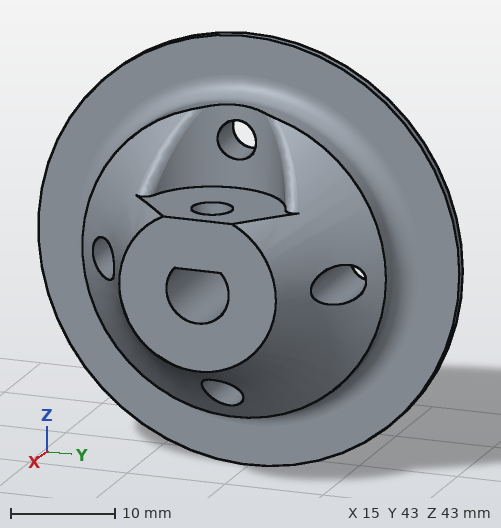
import cadquery as cq
import math

flange_radius = 21.5
flange_thickness = 1.0
hub_diameter = 31.0
hub_radius = hub_diameter / 2
root_fillet = 2.0
hub_shoulder_x = 5.0
nose_x = 15.0
nose_radius = 8.0
flare_curve_radius = 22.58

bore_radius = 3.2
bore_flat_height = 2.15
countersink = 1.05

bolt_diameter = 3.9
bolt_circle_radius = 12.0
bolt_count = 4

seat_x = 11.0
seat_radius = 7.0
seat_floor_z = 7.2
seat_rim_fillet = 0.95
selection_margin = 0.45
screw_diameter = 4.0


def flare_midpoint():
    """Middle of the concave arc joining the hub shoulder to the nose."""
    run = nose_x - hub_shoulder_x
    drop = hub_radius - nose_radius
    chord = math.hypot(run, drop)
    sagitta = flare_curve_radius - math.sqrt(flare_curve_radius**2 - (chord / 2) ** 2)
    middle_x = (hub_shoulder_x + nose_x) / 2 - sagitta * drop / chord
    middle_radius = (hub_radius + nose_radius) / 2 - sagitta * run / chord
    return middle_x, middle_radius


def turned_body():
    """Thin flange, filleted hub and flared nose as one revolved profile."""
    diagonal = root_fillet * (1 - math.sqrt(0.5))
    fillet_middle = (flange_thickness + diagonal, hub_radius + diagonal)
    return (
        cq.Workplane("XY")
        .lineTo(0, flange_radius)
        .lineTo(flange_thickness, flange_radius)
        .lineTo(flange_thickness, hub_radius + root_fillet)
        .threePointArc(fillet_middle, (flange_thickness + root_fillet, hub_radius))
        .lineTo(hub_shoulder_x, hub_radius)
        .threePointArc(flare_midpoint(), (nose_x, nose_radius))
        .lineTo(nose_x, 0)
        .close()
        .revolve(360, (0, 0, 0), (1, 0, 0))
    )


def seat_cutter():
    """Vertical cylinder that leaves a flat floor under the set screw."""
    return (
        cq.Workplane("XY", origin=(seat_x, 0, seat_floor_z))
        .circle(seat_radius)
        .extrude(flange_radius)
    )


def add_seat(body):
    """Cut the seat and round the two rim edges where its wall meets the flare."""
    seated = body.cut(seat_cutter())
    flare_rim_box = cq.selectors.BoxSelector(
        (hub_shoulder_x + selection_margin, -flange_radius, seat_floor_z + selection_margin),
        (seat_x, flange_radius, flange_radius),
    )
    return seated.edges(flare_rim_box).fillet(seat_rim_fillet)


def d_profile(x, radius, flat_height):
    """Circle in a YZ plane with its top trimmed to a horizontal flat."""
    half_flat = math.sqrt(radius**2 - flat_height**2)
    return (
        cq.Workplane("YZ", origin=(x, 0, 0))
        .moveTo(half_flat, flat_height)
        .threePointArc((0, -radius), (-half_flat, flat_height))
        .close()
    )


def bore_cutter():
    """Full-length D bore joined to its tapered mouth."""
    bore = d_profile(0, bore_radius, bore_flat_height).extrude(nose_x)
    mouth_wire = d_profile(0, bore_radius + countersink, bore_flat_height + countersink).wires().val()
    throat_wire = d_profile(countersink, bore_radius, bore_flat_height).wires().val()
    mouth = cq.Solid.makeLoft([mouth_wire, throat_wire], True)
    return bore.union(cq.Workplane(mouth))


def bolt_cutter():
    """Equally spaced bolt holes parallel to the shaft bore."""
    return (
        cq.Workplane("YZ")
        .polarArray(bolt_circle_radius, 0, 360, bolt_count)
        .circle(bolt_diameter / 2)
        .extrude(nose_x)
    )


def screw_cutter():
    """Set-screw hole from the seat floor into the bore."""
    return (
        cq.Workplane("XY", origin=(seat_x, 0, 0))
        .circle(screw_diameter / 2)
        .extrude(seat_floor_z)
    )


result = (
    add_seat(turned_body())
    .cut(bolt_cutter())
    .cut(bore_cutter())
    .cut(screw_cutter())
)